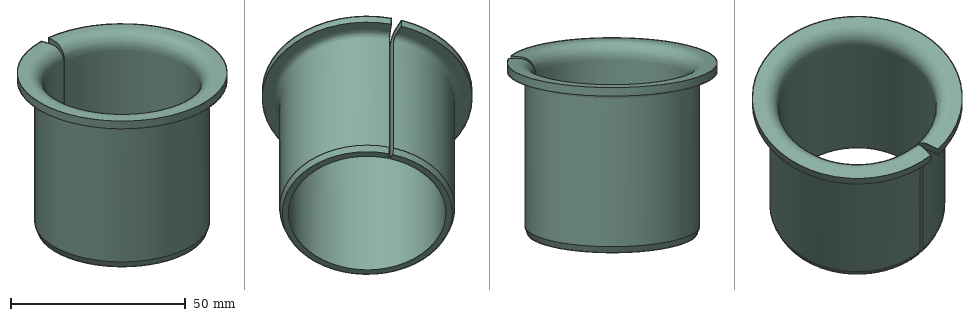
import cadquery as cq
import math

flange_diameter = 60.0
body_diameter = flange_diameter * 5 / 6
bore_diameter = flange_diameter * 3 / 4
height = body_diameter
wall = (body_diameter - bore_diameter) / 2

outer_bend_radius = 2.0
inner_bend_radius = outer_bend_radius + wall

chamfer_height = 2.0
chamfer_angle = 20.0

split_root_width = 0.35
split_rim_width = 3.0

flange_radius = flange_diameter / 2
body_radius = body_diameter / 2
bore_radius = bore_diameter / 2


def arc_midpoint(center, radius):
    """Point at 45 degrees on the bend, toward the bore and the top."""
    offset = radius * math.sqrt(0.5)
    return (center[0] - offset, center[1] + offset)


def make_bushing():
    """Revolve the wall, bend and flange section about Z."""
    flange_bottom = height - wall
    bend_center = (body_radius + outer_bend_radius, flange_bottom - outer_bend_radius)
    chamfer_width = chamfer_height * math.tan(math.radians(chamfer_angle))
    return (
        cq.Workplane("XZ")
        .moveTo(bore_radius, 0)
        .lineTo(body_radius - chamfer_width, 0)
        .lineTo(body_radius, chamfer_height)
        .lineTo(body_radius, bend_center[1])
        .threePointArc(arc_midpoint(bend_center, outer_bend_radius), (bend_center[0], flange_bottom))
        .lineTo(flange_radius, flange_bottom)
        .lineTo(flange_radius, height)
        .lineTo(bend_center[0], height)
        .threePointArc(arc_midpoint(bend_center, inner_bend_radius), (bore_radius, bend_center[1]))
        .close()
        .revolve(360, (0, 0), (0, 1))
        .rotate((0, 0, 0), (0, 0, 1), 180)
    )


def make_split():
    """Wedge that widens outward from the bore to the flange rim."""
    inside_bore = bore_radius - wall
    return (
        cq.Workplane("XY")
        .polyline([
            (-inside_bore, -split_root_width / 2),
            (-bore_radius, -split_root_width / 2),
            (-flange_radius, -split_rim_width / 2),
            (-flange_radius, split_rim_width / 2),
            (-bore_radius, split_root_width / 2),
            (-inside_bore, split_root_width / 2),
        ])
        .close()
        .extrude(height)
    )


result = make_bushing().cut(make_split())